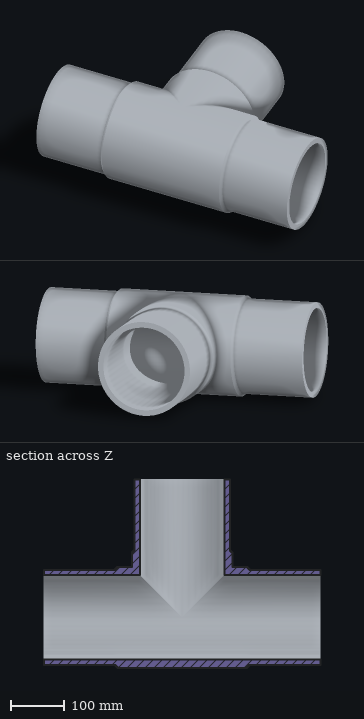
import cadquery as cq

pipe_diameter = 180.0
wall = 10.7
run_length = 521.0
branch_length = 260.0
spigot_length = 133.5

body_step = wall / 2
chamfer_length = body_step
pipe_radius = pipe_diameter / 2
bore_radius = pipe_radius - wall
body_radius = pipe_radius + body_step
run_half = run_length / 2

run_plane = cq.Plane(origin=(0, 0, 0), xDir=(1, 0, 0), normal=(0, 0, -1))
branch_plane = cq.Plane(origin=(0, 0, 0), xDir=(0, 1, 0), normal=(0, 0, 1))


def spigot_points(end, direction):
    """Outline points from the body, down the chamfer, along the spigot and in to the axis."""
    shoulder = end - direction * spigot_length
    return [
        (shoulder - direction * chamfer_length, body_radius),
        (shoulder, pipe_radius),
        (end, pipe_radius),
        (end, 0),
    ]


def revolve_about_axis(plane, points):
    """Solid of revolution of an outline about the plane's local x axis."""
    return cq.Workplane(plane).polyline(points).close().revolve(360, (0, 0, 0), (1, 0, 0))


def bore(plane, start, end):
    """Straight bore along the plane's local x axis."""
    outline = [(start, 0), (start, bore_radius), (end, bore_radius), (end, 0)]
    return revolve_about_axis(plane, outline)


left_end = spigot_points(-run_half, -1)
right_end = spigot_points(run_half, 1)
run = revolve_about_axis(run_plane, left_end[::-1] + right_end)

branch_root = [(0, 0), (0, body_radius)]
branch = revolve_about_axis(branch_plane, branch_root + spigot_points(branch_length, 1))

run_bore = bore(run_plane, -run_half, run_half)
branch_bore = bore(branch_plane, 0, branch_length)
result = run.union(branch).cut(run_bore).cut(branch_bore)